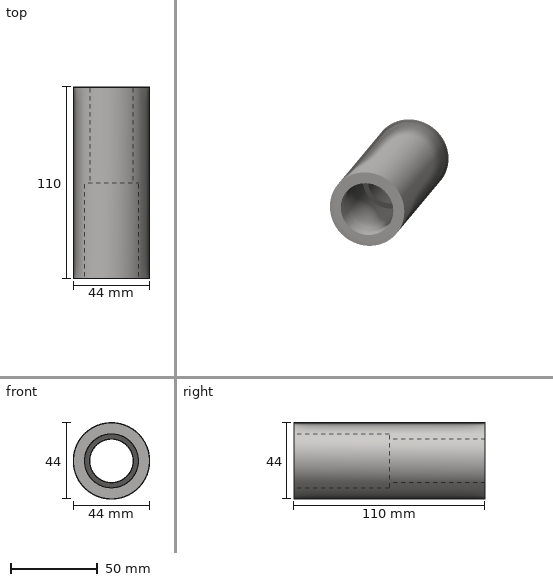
import cadquery as cq

length = 110.0
outer_diameter = 44.0
bore_diameter = 25.0
counterbore_diameter = 31.0
counterbore_depth = length / 2

front_y = -length / 2


def cylinder_from_front(diameter, depth):
    """Cylinder that starts at the front end and runs toward +Y."""
    front_plane = cq.Workplane("XZ", origin=(0, front_y, 0))
    return front_plane.circle(diameter / 2).extrude(-depth)


body = cylinder_from_front(outer_diameter, length)
through_bore = cylinder_from_front(bore_diameter, length)
counterbore = cylinder_from_front(counterbore_diameter, counterbore_depth)

result = body.cut(through_bore).cut(counterbore)